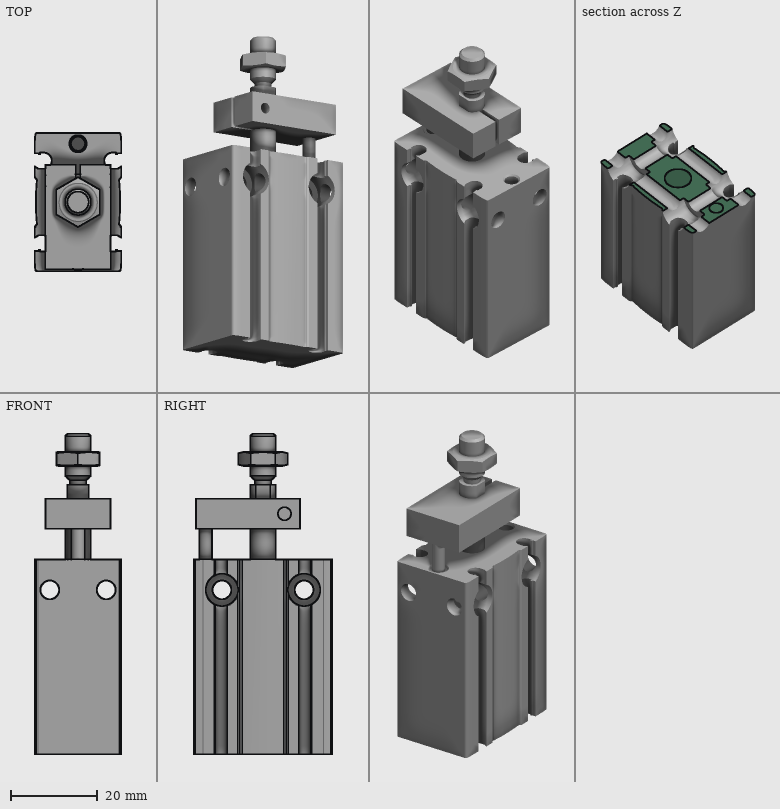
import cadquery as cq
import math

housing_width = 20.0
housing_depth = 32.0
housing_height = 45.0
half_width = housing_width / 2
half_depth = housing_depth / 2

corner_start_x = 9.3
corner_front_x = 9.6
corner_front_y = 15.9
corner_side_x = 9.85
corner_side_y = 15.7
crown_start_y = 13.9
crown_sag = 0.04

relief_top_y = 5.85
relief_edge_x = 9.8
relief_edge_y = 5.4
relief_mid_x = 9.55
relief_mid_y = 5.2
relief_floor_x = 9.5
waist_y = 4.8
waist_edge_x = 9.55
waist_mid_x = 9.8

slot_y = 9.55
slot_width = 3.7
slot_center_x = 7.9
slot_lip_x = 9.1
slot_lip_y = 8.2
slot_notch_x = 8.7
slot_ridge_y = 11.0
slot_mouth_y = 11.25

mount_hole_diameter = 4.3
mount_hole_y = 9.5
mount_hole_z = 37.95
front_hole_x = 6.5
counterbore_diameter = 7.5
counterbore_depth = 6.5

guide_y = -13.25
guide_rod_diameter = 3.0
guide_rod_depth = 14.8
guide_recess_diameter = 4.15
guide_mouth_diameter = 4.9
port_y = 13.5
port_diameter = 3.25
port_mouth_diameter = 4.0
port_depth = 7.4

plate_width = 15.0
plate_front_y = -15.5
plate_back_y = 8.6
plate_bottom = 52.0
plate_thickness = 7.0
plate_top = plate_bottom + plate_thickness
clamp_slot_width = 1.1

screw_diameter = 3.0
screw_pilot_diameter = 2.5
screw_y = 4.95
screw_z = plate_bottom + plate_thickness / 2
screw_tip_x = -2.95

rod_diameter = 6.0
rod_depth = 14.8
rod_flats_width = 5.0
rod_shoulder_z = 62.2
neck_diameter = 3.9
thread_start_z = 64.3
rod_top = 74.0
rod_tip_diameter = 4.9

nut_width = 10.0
nut_bottom = 66.5
nut_height = 3.3
nut_face_diameter = 8.8
nut_corner_drop = 0.4


def cylinder(diameter, height, x, y, z):
    """Upright cylinder standing at (x, y, z)."""
    return cq.Workplane("XY", origin=(x, y, z)).circle(diameter / 2).extrude(height)


def cylinder_along_x(diameter, x_start, x_end, y, z):
    """Cylinder parallel to X from x_start to x_end."""
    plane = cq.Workplane("YZ", origin=(x_start, y, z))
    return plane.circle(diameter / 2).extrude(x_end - x_start)


def top_hole(diameter, depth, y):
    """Cutter for a blind hole in the housing top, on X = 0."""
    return cylinder(diameter, depth, 0, y, housing_height - depth)


def countersink(bottom_diameter, mouth_diameter, y):
    """Cutter for a 45 degree countersink in the housing top, on X = 0."""
    depth = (mouth_diameter - bottom_diameter) / 2
    cone = revolved([
        (0, housing_height),
        (mouth_diameter / 2, housing_height),
        (bottom_diameter / 2, housing_height - depth),
        (0, housing_height - depth),
    ])
    return cone.translate((0, y, 0))


def revolved(profile):
    """Solid of revolution about Z from (radius, z) points."""
    return cq.Workplane("XZ").polyline(profile).close().revolve(360, (0, 0, 0), (0, 1, 0))


def make_profile():
    """Housing section without the slots: the +X half, mirrored about the YZ plane."""
    crown_mid_y = (crown_start_y + corner_side_y) / 2
    half = (
        cq.Workplane("XY")
        .moveTo(0, -half_depth)
        .lineTo(corner_start_x, -half_depth)
        .lineTo(corner_front_x, -corner_front_y)
        .lineTo(corner_side_x, -corner_side_y)
        .threePointArc((half_width - crown_sag, -crown_mid_y), (half_width, -crown_start_y))
        .lineTo(half_width, -relief_top_y)
        .lineTo(relief_edge_x, -relief_edge_y)
        .threePointArc((relief_mid_x, -relief_mid_y), (relief_floor_x, -waist_y))
        .lineTo(waist_edge_x, -waist_y)
        .threePointArc((waist_mid_x, 0), (waist_edge_x, waist_y))
        .lineTo(relief_floor_x, waist_y)
        .threePointArc((relief_mid_x, relief_mid_y), (relief_edge_x, relief_edge_y))
        .lineTo(half_width, relief_top_y)
        .lineTo(half_width, crown_start_y)
        .threePointArc((half_width - crown_sag, crown_mid_y), (corner_side_x, corner_side_y))
        .lineTo(corner_front_x, corner_front_y)
        .lineTo(corner_start_x, half_depth)
        .lineTo(0, half_depth)
        .close()
        .extrude(housing_height)
    )
    return half.union(half.mirror("YZ"))


def slot_cutter():
    """Cutter for the sensor slot in the +X, +Y position."""
    radius = slot_width / 2
    return (
        cq.Workplane("XY")
        .moveTo(half_width, slot_lip_y)
        .lineTo(slot_lip_x, slot_y - radius)
        .lineTo(slot_center_x, slot_y - radius)
        .threePointArc((slot_center_x - radius, slot_y), (slot_center_x, slot_y + radius))
        .lineTo(slot_notch_x, slot_y + radius)
        .lineTo(slot_notch_x, slot_ridge_y)
        .lineTo(slot_lip_x, slot_ridge_y)
        .lineTo(slot_lip_x, slot_mouth_y)
        .lineTo(half_width, slot_mouth_y)
        .close()
        .extrude(housing_height)
    )


def make_housing():
    body = make_profile()
    slot = slot_cutter()
    slot_pair = slot.union(slot.mirror("YZ"))
    body = body.cut(slot_pair).cut(slot_pair.mirror("XZ"))

    for side in (-1, 1):
        y = side * mount_hole_y
        body = body.cut(cylinder_along_x(mount_hole_diameter, -half_width, half_width, y, mount_hole_z))
        for end in (-1, 1):
            outer_x = end * half_width
            inner_x = end * (half_width - counterbore_depth)
            body = body.cut(cylinder_along_x(counterbore_diameter, outer_x, inner_x, y, mount_hole_z))
        front_hole = (
            cq.Workplane("XZ", origin=(side * front_hole_x, half_depth, mount_hole_z))
            .circle(mount_hole_diameter / 2)
            .extrude(housing_depth)
        )
        body = body.cut(front_hole)

    body = body.cut(top_hole(rod_diameter, rod_depth, 0))
    body = body.cut(top_hole(guide_rod_diameter, guide_rod_depth, guide_y))
    body = body.cut(countersink(guide_recess_diameter, guide_mouth_diameter, guide_y))
    body = body.cut(top_hole(port_diameter, port_depth, port_y))
    return body.cut(countersink(port_diameter, port_mouth_diameter, port_y))


def make_plate():
    depth = plate_back_y - plate_front_y
    plate = (
        cq.Workplane("XY", origin=(0, (plate_back_y + plate_front_y) / 2, plate_bottom))
        .rect(plate_width, depth)
        .extrude(plate_thickness)
    )
    clamp_slot = (
        cq.Workplane("XY", origin=(0, plate_back_y / 2, plate_bottom))
        .rect(clamp_slot_width, plate_back_y)
        .extrude(plate_thickness)
    )
    half_plate = plate_width / 2
    pilot = cylinder_along_x(screw_pilot_diameter, -half_plate, screw_tip_x, screw_y, screw_z)
    rod_hole = cylinder(rod_diameter, plate_thickness, 0, 0, plate_bottom)
    return plate.cut(clamp_slot).cut(rod_hole).cut(pilot).cut(make_screw())


def make_screw():
    return cylinder_along_x(screw_diameter, screw_tip_x, plate_width / 2, screw_y, screw_z)


def make_guide_rod():
    bottom = housing_height - guide_rod_depth
    return cylinder(guide_rod_diameter, plate_bottom - bottom, 0, guide_y, bottom)


def make_rod():
    radius = rod_diameter / 2
    neck = neck_diameter / 2
    tip = rod_tip_diameter / 2
    bottom = housing_height - rod_depth
    rod = revolved([
        (0, bottom),
        (radius, bottom),
        (radius, rod_shoulder_z),
        (neck, rod_shoulder_z),
        (neck, thread_start_z - (radius - neck)),
        (radius, thread_start_z),
        (radius, rod_top - (radius - tip)),
        (tip, rod_top),
        (0, rod_top),
    ])
    flats_height = rod_shoulder_z - plate_top
    for side in (-1, 1):
        flat = (
            cq.Workplane("XY", origin=(side * rod_flats_width, 0, plate_top))
            .rect(rod_flats_width, rod_diameter)
            .extrude(flats_height)
        )
        rod = rod.cut(flat)
    return rod


def make_nut():
    corner_radius = nut_width / math.sqrt(3)
    face_radius = nut_face_diameter / 2
    nut_top = nut_bottom + nut_height
    hexagon = (
        cq.Workplane("XY", origin=(0, 0, nut_bottom))
        .polygon(6, 2 * corner_radius)
        .extrude(nut_height)
        .rotate((0, 0, 0), (0, 0, 1), 30)
    )
    slope = nut_corner_drop / (corner_radius - face_radius)
    outer_radius = nut_width
    outer_drop = slope * (outer_radius - face_radius)
    envelope = revolved([
        (0, nut_bottom),
        (face_radius, nut_bottom),
        (outer_radius, nut_bottom + outer_drop),
        (outer_radius, nut_top - outer_drop),
        (face_radius, nut_top),
        (0, nut_top),
    ])
    return hexagon.intersect(envelope).cut(cylinder(rod_diameter, nut_height, 0, 0, nut_bottom))


housing = make_housing()
plate = make_plate()
clamp_screw = make_screw()
guide_rod = make_guide_rod()
piston_rod = make_rod()
lock_nut = make_nut()

result = cq.Compound.makeCompound([
    housing.val(),
    plate.val(),
    clamp_screw.val(),
    guide_rod.val(),
    piston_rod.val(),
    lock_nut.val(),
])